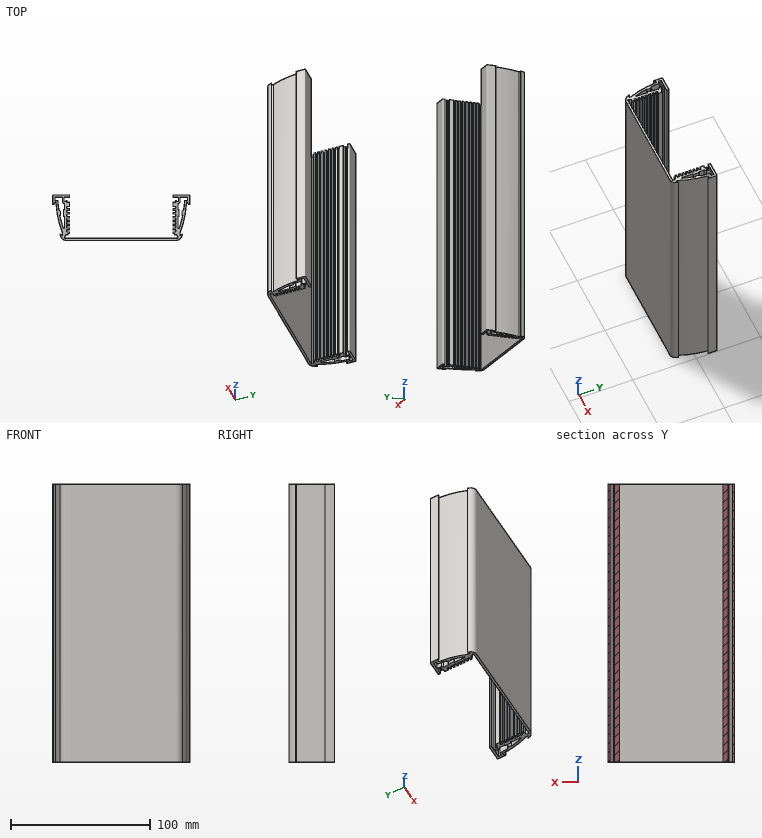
import cadquery as cq

length = 200.0
half_width = 98.5 / 2
depth = 32.8
skin = 1.8

flange_width = 12.1
flange_rounding = 0.5
flange_underside = depth - skin
hook_tip_y = 25.8
hook_tip_width = 0.6
hook_notch = (2.0, 27.5)
hook_shelf_y = 28.8

outer_wall_top = (2.4, 26.0)
outer_wall_middle = (4.15, 14.3)
outer_wall_foot = (7.0, 5.3)
cavity_corner = 3.8
cavity_outer_middle = (5.75, 15.5)
cavity_bottom = (7.7, 8.9)
cavity_bottom_width = 0.6

web_outer = 7.0
web_inner = 8.2
wall_outer = 8.3
wall_inner = 10.1
web_foot_y = 27.4
wall_shoulder_y = 26.2
lip_top_y = 29.0
lip_width = 0.7
lip_outer = wall_inner - lip_width
lip_groove_y = 28.2

block_top_y = 27.6
block_bottom_y = 24.5
tooth_count = 7
tooth_pitch = 2.8
tooth_thickness = 1.3
first_tooth_y = 5.65

stop_top_y = 22.2
outer_stop_length = 4.0
outer_stop_slope = 1.2
outer_stop_root = 4.4
outer_stop_face = 5.6
inner_stop_length = 4.7
inner_stop_face = 7.7

corner_start = 10.1
corner_end = (5.6, 3.3)
lip_tip = (5.1, 4.8)
neck_outer = 7.0
neck_inner = 8.8
neck_straight_top_y = 2.8
neck_flare = 9.8
lip_notch_y = 3.8
wall_foot_y = 4.6
foot_tip_inner = 11.0
foot_tip_outer = 10.7
foot_tip_y = 3.9


def at(distance, y):
    """Point on the left-hand side, measured inward from the outer edge."""
    return distance - half_width, y


def rectangle(near, far, bottom, top):
    """Full-length bar between two distances from the outer edge."""
    outline = [at(near, bottom), at(far, bottom), at(far, top), at(near, top)]
    return cq.Workplane("XY").polyline(outline).close().extrude(length)


def side_outline():
    """Left half of the section without the cavity, teeth and stops."""
    return (
        cq.Workplane("XY")
        .moveTo(0, 0)
        .lineTo(*at(corner_start, 0))
        .tangentArcPoint(at(*corner_end), relative=False)
        .lineTo(*at(*lip_tip))
        .lineTo(*at(neck_outer, lip_notch_y))
        .lineTo(*at(*outer_wall_foot))
        .threePointArc(at(*outer_wall_middle), at(*outer_wall_top))
        .lineTo(*at(*hook_notch))
        .lineTo(*at(hook_tip_width, hook_tip_y))
        .lineTo(*at(0, hook_tip_y))
        .lineTo(*at(0, depth - flange_rounding))
        .tangentArcPoint(at(flange_rounding, depth), relative=False)
        .lineTo(*at(flange_width - flange_rounding, depth))
        .tangentArcPoint(at(flange_width, depth - flange_rounding), relative=False)
        .lineTo(*at(flange_width, flange_underside))
        .lineTo(*at(web_inner, flange_underside))
        .lineTo(*at(web_inner, lip_groove_y))
        .lineTo(*at(lip_outer, lip_groove_y))
        .lineTo(*at(lip_outer, lip_top_y))
        .lineTo(*at(wall_inner, lip_top_y))
        .lineTo(*at(wall_inner, wall_foot_y))
        .lineTo(*at(neck_flare, wall_foot_y))
        .lineTo(*at(neck_inner, neck_straight_top_y))
        .lineTo(*at(neck_inner, skin))
        .lineTo(0, skin)
        .close()
        .extrude(length)
    )


def cavity():
    """Closed channel between the outer and inner walls."""
    return (
        cq.Workplane("XY")
        .moveTo(*at(skin, flange_underside))
        .lineTo(*at(skin, hook_shelf_y))
        .lineTo(*at(cavity_corner, hook_shelf_y))
        .threePointArc(at(*cavity_outer_middle), at(*cavity_bottom))
        .lineTo(*at(cavity_bottom[0] + cavity_bottom_width, cavity_bottom[1]))
        .lineTo(*at(wall_outer, wall_shoulder_y))
        .lineTo(*at(web_outer, web_foot_y))
        .lineTo(*at(web_outer, flange_underside))
        .close()
        .extrude(length)
    )


def stops():
    """Shallow pads facing each other across the cavity."""
    bottom = stop_top_y - outer_stop_length
    outline = [
        at(outer_stop_root, bottom),
        at(outer_stop_face, bottom),
        at(outer_stop_face, stop_top_y - outer_stop_slope),
        at(outer_stop_root, stop_top_y),
    ]
    outer = cq.Workplane("XY").polyline(outline).close().extrude(length)
    inner = rectangle(inner_stop_face, wall_inner, stop_top_y - inner_stop_length, stop_top_y)
    return outer.union(inner)


def comb():
    """Wide rear block and evenly spaced teeth on the inner wall."""
    teeth = rectangle(wall_outer, flange_width, block_bottom_y, block_top_y)
    for index in range(tooth_count):
        centre = first_tooth_y + index * tooth_pitch
        half = tooth_thickness / 2
        teeth = teeth.union(rectangle(lip_outer, flange_width, centre - half, centre + half))
    return teeth


def foot_lip():
    """Small tapered lip below the frontmost tooth."""
    outline = [
        at(lip_outer, wall_foot_y),
        at(foot_tip_outer, foot_tip_y),
        at(foot_tip_inner, foot_tip_y),
        at(foot_tip_inner, first_tooth_y),
        at(lip_outer, first_tooth_y),
    ]
    return cq.Workplane("XY").polyline(outline).close().extrude(length)


left_half = side_outline().cut(cavity()).union(stops()).union(comb()).union(foot_lip())
result = left_half.union(left_half.mirror("YZ"))